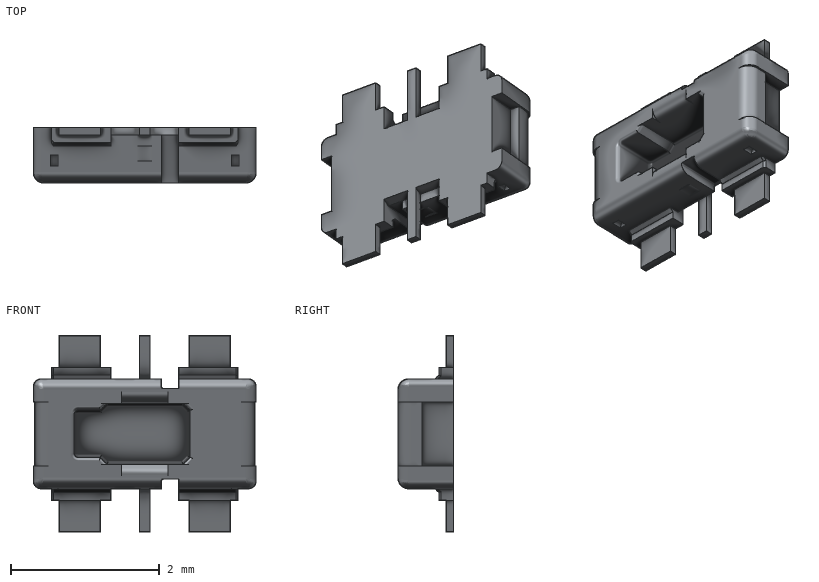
import cadquery as cq
import math

width = 3.0
depth = 0.75
height = 1.48
front_round = 0.15
corner_round = 0.11
overlap = 0.2

lead_tip = 1.32
lead_thickness = 0.1
lead_root = 0.5
lead_width = 0.553
lead_center = 0.874
pin_width = 0.144
shoulder_inner = 0.457
shoulder_outer = 1.253
shoulder_top = 0.895
shoulder_thickness = 0.2
flare = 0.05
shoulder_chamfer = 0.028

floor_thickness = 0.12
pocket_left = -0.95
pocket_right = 0.61
wide_half = 0.41
narrow_half = 0.32
left_ramp_x = -0.598
right_ramp_z = 0.316
pocket_round = 0.05
pocket_corner = 0.06

scoop_width = 0.62
scoop_round = 0.15

recess_half = 0.43
recess_depth = 0.02
recess_round = 0.18
deep_recess_depth = 0.167
deep_recess_front = 0.425

slot_left = 0.222
slot_floor = 0.61
slot_round = 0.03
ledge_depth = 0.1
ledge_angle = 30

side_pit_center = 1.218
side_pit_half = 0.053
side_pit_base_half = 0.032
side_pit_depth = 0.08
side_pit_round = 0.027
side_pit_back = 0.371
side_pit_front = 0.52
dimple_half = 0.092
dimple_sag = 0.016
dimple_back = 0.25
dimple_front = 0.45

half_width = width / 2
half_height = height / 2


def box(x0, x1, y0, y1, z0, z1):
    """Axis-aligned block between two opposite corners."""
    return cq.Workplane("XY").box(x1 - x0, y1 - y0, z1 - z0, centered=False).translate((x0, y0, z0))


def mirrored(shape, plane):
    """The shape together with its mirror image."""
    return shape.union(shape.mirror(plane))


def xz_sketch(y):
    """Sketch plane at y; local axes are X and Z and extrusion runs toward -Y."""
    return cq.Workplane("XZ", origin=(0, y, 0))


def make_housing():
    """Block with rounded front edges and rounded corners."""
    block = box(-half_width, half_width, -depth, 0, -half_height, half_height)
    rounded = block.faces("<Y").edges().fillet(front_round)
    inner_x = half_width - front_round / 2
    inner_z = half_height - front_round / 2
    corner_edges = []
    for side in (-1, 1):
        for end in (-1, 1):
            near = (side * inner_x, -depth - overlap, end * inner_z)
            far = (side * (half_width + overlap), overlap, end * (half_height + overlap))
            corner_edges += rounded.edges(cq.selectors.BoxSelector(near, far)).vals()
    return rounded.newObject(corner_edges).fillet(corner_round)


def make_window():
    """Void of the pocket, with a rounded floor and a rim rounded except along the straight long walls."""
    beyond = half_height
    left_end = left_ramp_x + beyond - narrow_half
    right_end = pocket_right - (beyond - right_ramp_z)
    upper = [(left_end, beyond), (left_ramp_x, narrow_half), (pocket_left, narrow_half)]
    lower = [(x, -z) for x, z in reversed(upper)]
    right = [
        (right_end, -beyond),
        (pocket_right, -right_ramp_z),
        (pocket_right, right_ramp_z),
        (right_end, beyond),
    ]
    outline = xz_sketch(-floor_thickness).polyline(upper + lower + right).close()
    prism = outline.extrude(depth - floor_thickness)
    prism = prism.edges("|Y").edges("<X").fillet(pocket_corner)
    frame = box(-half_width, half_width, -depth, -floor_thickness, -2 * beyond, 2 * beyond)
    frame = frame.cut(prism)
    inner_x = half_width - overlap
    inside = cq.selectors.BoxSelector(
        (-inner_x, -depth - overlap, -beyond + pocket_round),
        (inner_x, -depth + pocket_round, beyond - pocket_round),
    )
    frame = frame.faces("<Y").edges(inside).fillet(pocket_round)
    slab = box(-inner_x, inner_x, -depth, -floor_thickness, -wide_half, wide_half)
    return slab.cut(frame).faces(">Y").edges().fillet(pocket_round)


def make_scoops():
    """Rounded-over stretches of the two long window edges."""
    half_scoop = scoop_width / 2
    arc_y = scoop_round - depth
    arc_z = wide_half + scoop_round
    strip = box(-half_scoop, half_scoop, -depth, arc_y, wide_half, arc_z)
    roller = (
        cq.Workplane("YZ", origin=(-half_scoop, 0, 0))
        .center(arc_y, arc_z)
        .circle(scoop_round)
        .extrude(scoop_width)
    )
    return mirrored(strip.cut(roller), "XY")


def make_side_recesses():
    """Cuts in both ends: shallow at the rounded front, deep at the back."""
    shallow_x = recess_depth - half_width
    outside = -half_width - overlap
    shallow = box(outside, shallow_x + recess_round, -depth, 0, -recess_half, recess_half)
    keep = box(shallow_x, 0, -depth, overlap, -half_height, half_height)
    keep = keep.edges("|Z").edges("<X and <Y").fillet(recess_round)
    shallow = shallow.cut(keep)
    deep = box(outside, deep_recess_depth - half_width, -deep_recess_front, 0, -recess_half, recess_half)
    return mirrored(shallow.union(deep), "YZ")


def make_slots():
    """Slots running front to back, each ending at a ledge that slopes down to the back face."""
    slot = box(slot_left, shoulder_inner, -depth, 0, slot_floor, half_height)
    slot = slot.edges("|Y").edges("<X and <Z").fillet(slot_round)
    ledge_drop = ledge_depth * math.tan(math.radians(ledge_angle))
    ledge = (
        cq.Workplane("YZ", origin=(-shoulder_inner, 0, 0))
        .polyline([
            (-ledge_depth, half_height),
            (-ledge_depth, slot_floor),
            (0, slot_floor - ledge_drop),
            (0, half_height),
        ])
        .close()
        .extrude(2 * shoulder_inner)
    )
    return mirrored(slot.union(ledge), "XY")


def make_pits():
    """Tapered pits near the ends and a shallow curved dimple in the middle."""
    bottom = half_height - side_pit_depth
    side_pit = (
        xz_sketch(-side_pit_back)
        .polyline([
            (side_pit_center - side_pit_half, half_height),
            (side_pit_center - side_pit_base_half, bottom),
            (side_pit_center + side_pit_base_half, bottom),
            (side_pit_center + side_pit_half, half_height),
        ])
        .close()
        .extrude(side_pit_front - side_pit_back)
        .faces("<Z").edges("|Y").fillet(side_pit_round)
    )
    dimple = (
        xz_sketch(-dimple_back)
        .moveTo(-dimple_half, half_height)
        .threePointArc((0, half_height - dimple_sag), (dimple_half, half_height))
        .close()
        .extrude(dimple_front - dimple_back)
    )
    return mirrored(mirrored(side_pit, "YZ").union(dimple), "XY")


def make_leads():
    """Four blades on flared shoulders and two plain centre pins."""
    shoulder = (
        cq.Workplane("YZ", origin=(shoulder_inner, 0, 0))
        .polyline([
            (0, lead_root),
            (-shoulder_thickness - flare, lead_root),
            (-shoulder_thickness - flare, half_height),
            (-shoulder_thickness, half_height + flare),
            (-shoulder_thickness, shoulder_top),
            (0, shoulder_top),
        ])
        .close()
        .extrude(shoulder_outer - shoulder_inner)
    )
    front_edges = cq.selectors.BoxSelector(
        (shoulder_outer - flare, -depth, half_height - flare / 2),
        (shoulder_outer + flare, -shoulder_thickness + flare / 2, shoulder_top - flare),
    )
    shoulder = shoulder.faces(">X").edges(front_edges).chamfer(shoulder_chamfer)
    blade_left = lead_center - lead_width / 2
    blade = box(blade_left, blade_left + lead_width, -lead_thickness, 0, lead_root, lead_tip)
    pin = box(-pin_width / 2, pin_width / 2, -lead_thickness, 0, lead_root, lead_tip)
    side_leads = mirrored(shoulder.union(blade), "YZ")
    return mirrored(side_leads.union(pin), "XY")


result = make_housing()
for void in (make_window(), make_scoops(), make_side_recesses(), make_slots(), make_pits()):
    result = result.cut(void)
result = result.union(make_leads())